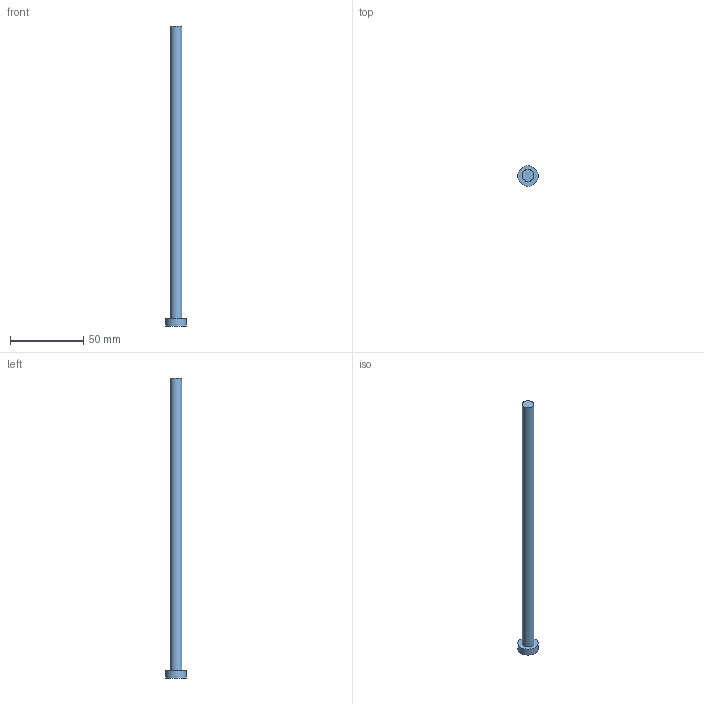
import cadquery as cq

overall_length = 205.0
head_diameter = 14.0
head_thickness = 5.0
shank_diameter = 8.0

shank_length = overall_length - head_thickness


def make_head():
    """Plain disc head with its underside on Z = 0."""
    return cq.Workplane("XY").circle(head_diameter / 2).extrude(head_thickness)


def add_shank(body):
    """Straight cylindrical shank rising from the top of the head."""
    return body.faces(">Z").workplane().circle(shank_diameter / 2).extrude(shank_length)


result = add_shank(make_head())